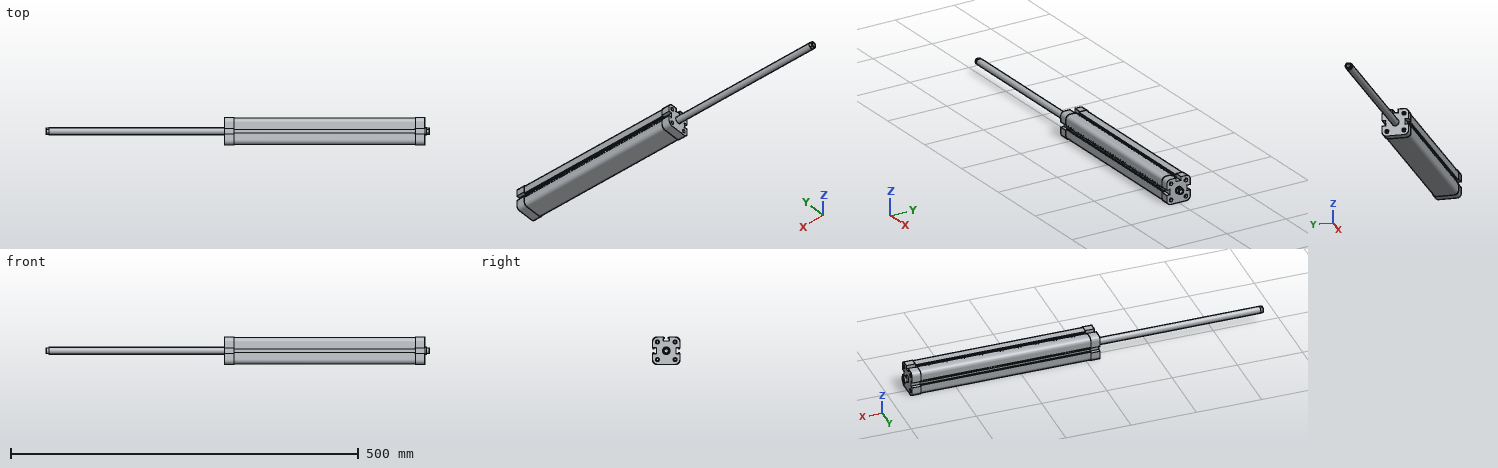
import cadquery as cq

TOTAL_LENGTH = 551.0
CAP_SIDE = 39.5
CAP_CORNER_RADIUS = 6.5
BARREL_SIDE = 38.5
BARREL_CORNER_RADIUS = 6.5
BODY_START = 256.0
CAP_LENGTH = 14.0
BODY_LENGTH = 288.0
BARREL_START = BODY_START + CAP_LENGTH
BARREL_LENGTH = BODY_LENGTH - 2 * CAP_LENGTH
REAR_CAP_START = BARREL_START + BARREL_LENGTH

SLOT_WIDTH = 8.0
SLOT_DEPTH = 5.5
LIP_OPENING = 5.0
LIP_THICKNESS = 2.0
GROOVED_SIDES = (0, 90, 270)

BOLT_OFFSET = 12.5
BOLT_DIAMETER = 3.5
COUNTERBORE_DIAMETER = 5.5
COUNTERBORE_DEPTH = 4.5

ROD_DIAMETER = 10.5
CAP_BORE_DIAMETER = 11.0
TIP_DIAMETER = 10.0
TIP_LENGTH = 4.5
TIP_CHAMFER = 0.5
ACROSS_FLATS = 8.0
SOCKET_DIAMETER = 6.0
SOCKET_DEPTH = 14.0
DRILL_POINT_DEPTH = 1.5


def section(start):
    """Workplane across the X axis: local x is Y, local y is Z, extruding toward +X."""
    return cq.Workplane("YZ", origin=(start, 0, 0))


def bolt_points():
    return [(y, z) for y in (-BOLT_OFFSET, BOLT_OFFSET) for z in (-BOLT_OFFSET, BOLT_OFFSET)]


def square_block(start, length, side, corner_radius, bore_diameter):
    """Rounded square bar with the rod bore and the corner bolt holes."""
    bar = section(start).rect(side, side).extrude(length).edges("|X").fillet(corner_radius)
    bar = bar.cut(section(start).circle(bore_diameter / 2).extrude(length))
    return bar.cut(section(start).pushPoints(bolt_points()).circle(BOLT_DIAMETER / 2).extrude(length))


def groove(start, length, width, top_depth, bottom_depth):
    """Cutter for a groove between two depths below the top of the caps."""
    height = bottom_depth - top_depth
    centre = CAP_SIDE / 2 - (top_depth + bottom_depth) / 2
    return section(start).center(0, centre).rect(width, height).extrude(length)


def cut_grooves(block, cutter):
    """Cut the same groove into each grooved side."""
    for angle in GROOVED_SIDES:
        block = block.cut(cutter.rotate((0, 0, 0), (1, 0, 0), angle))
    return block


def make_cap(start, counterbore_start):
    """End cap with open grooves and counterbored bolt holes."""
    cap = square_block(start, CAP_LENGTH, CAP_SIDE, CAP_CORNER_RADIUS, CAP_BORE_DIAMETER)
    cap = cut_grooves(cap, groove(start, CAP_LENGTH, SLOT_WIDTH, 0, SLOT_DEPTH))
    counterbores = section(counterbore_start).pushPoints(bolt_points())
    return cap.cut(counterbores.circle(COUNTERBORE_DIAMETER / 2).extrude(COUNTERBORE_DEPTH))


def make_barrel():
    """Middle profile with T-shaped grooves."""
    barrel = square_block(BARREL_START, BARREL_LENGTH, BARREL_SIDE, BARREL_CORNER_RADIUS, ROD_DIAMETER)
    opening = groove(BARREL_START, BARREL_LENGTH, LIP_OPENING, 0, LIP_THICKNESS)
    undercut = groove(BARREL_START, BARREL_LENGTH, SLOT_WIDTH, LIP_THICKNESS, SLOT_DEPTH)
    return cut_grooves(barrel, opening.union(undercut))


def make_tip():
    """Chamfered rod tip at X = 0 with two wrench flats facing up and down."""
    tip = section(0).circle(TIP_DIAMETER / 2).extrude(TIP_LENGTH).faces("<X").chamfer(TIP_CHAMFER)
    return tip.intersect(section(0).rect(TIP_DIAMETER, ACROSS_FLATS).extrude(TIP_LENGTH))


def make_socket():
    """Cutter for the blind hole at X = 0, ending in a conical drill point."""
    radius = SOCKET_DIAMETER / 2
    profile = cq.Workplane("XY").moveTo(0, 0).lineTo(0, radius).lineTo(SOCKET_DEPTH, radius)
    profile = profile.lineTo(SOCKET_DEPTH + DRILL_POINT_DEPTH, 0).close()
    return profile.revolve(360, (0, 0, 0), (1, 0, 0))


def make_rod():
    """Through rod with the same tip and socket at both ends."""
    shank_length = TOTAL_LENGTH - 2 * TIP_LENGTH
    rod = section(TIP_LENGTH).circle(ROD_DIAMETER / 2).extrude(shank_length)
    tip = make_tip()
    socket = make_socket()
    middle = (TOTAL_LENGTH / 2, 0, 0)
    rod = rod.union(tip).union(tip.mirror("YZ", middle))
    return rod.cut(socket).cut(socket.mirror("YZ", middle))


front_cap = make_cap(BODY_START, BODY_START)
barrel = make_barrel()
rear_cap = make_cap(REAR_CAP_START, REAR_CAP_START + CAP_LENGTH - COUNTERBORE_DEPTH)
rod = make_rod()

result = cq.Compound.makeCompound([front_cap.val(), barrel.val(), rear_cap.val(), rod.val()])